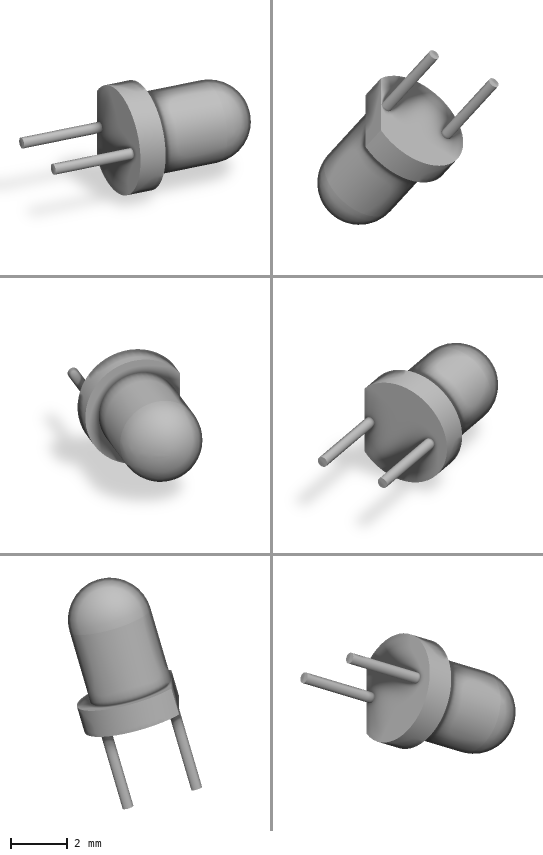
import cadquery as cq

total_length = 8.3
body_diameter = 3.0
flange_diameter = 4.0
flange_width = 3.5
flange_thickness = 1.0
lead_diameter = 0.4
lead_length = 3.105
lead_spacing = 2.54

body_radius = body_diameter / 2
flange_radius = flange_diameter / 2
flat_x = flange_radius - flange_width
dome_tip_y = total_length - lead_length
dome_start_y = dome_tip_y - body_radius


def rod(diameter, start_y, end_y, x=0):
    """Solid round bar along Y between two positions."""
    base = cq.Workplane("XZ", origin=(x, start_y, 0))
    return base.circle(diameter / 2).extrude(start_y - end_y)


def make_flange():
    """Round flange with one flat on its -X side."""
    disc = rod(flange_diameter, 0, flange_thickness)
    keep = cq.Workplane("XY").box(
        flange_width, flange_thickness, flange_diameter, centered=(False, False, True)
    )
    return disc.intersect(keep.translate((flat_x, 0, 0)))


def make_lens():
    """Cylindrical body closed by a hemispherical dome, revolved about Y."""
    diagonal = body_radius * 0.5**0.5
    return (
        cq.Workplane("XY")
        .moveTo(0, 0)
        .lineTo(body_radius, 0)
        .lineTo(body_radius, dome_start_y)
        .threePointArc((diagonal, dome_start_y + diagonal), (0, dome_tip_y))
        .close()
        .revolve(360, (0, 0, 0), (0, 1, 0))
    )


result = make_flange().union(make_lens())
for side in (-1, 1):
    lead = rod(lead_diameter, -lead_length, flange_thickness / 2, side * lead_spacing / 2)
    result = result.union(lead)